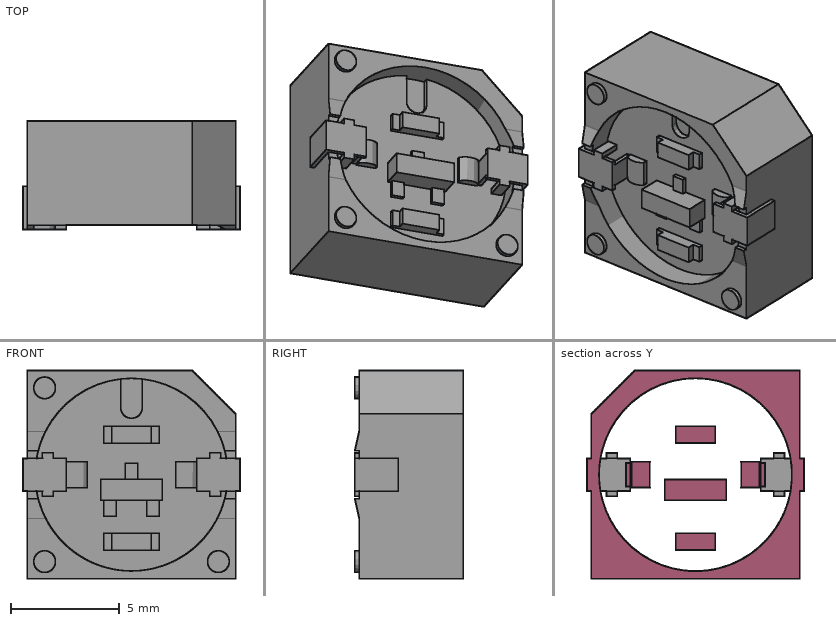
import cadquery as cq
import math


housing_side = 9.6
housing_depth = 4.8
corner_cut = 2.0
standoff = 0.2
housing_face_y = standoff

recess_diameter = 8.87
recess_depth = 1.1
floor_y = housing_face_y + recess_depth
slot_width = 1.0
slot_end_z = 2.6
slot_depth = 0.3

peg_diameter = 1.0
peg_offset = 4.0

ramp_high_z = 1.1
ramp_low_z = 2.0

terminal_outer_x = 5.0
terminal_inner_x = 3.0
terminal_width = 1.5
terminal_thickness = 0.2
side_plate_length = 2.0
arm_inner_x = 3.6
arm_outer_x = 4.1
arm_reach_z = 1.0
arm_depth = 1.05
leg_width = 1.1
foot_inner_x = 2.03
foot_width = 1.2
foot_edge_height = 0.2
foot_radius = 0.7

chip_length = 2.54
chip_body_length = 1.82
chip_width = 0.78
chip_cap_height = 0.2
chip_body_height = 0.55
chip_centres_z = (1.85, -3.08)

transistor_length = 2.84
transistor_top_z = -0.21
transistor_bottom_z = -1.18
transistor_height = 1.1
lead_width = 0.58
lead_height = 0.2
lead_length = 0.74
lead_pair_x = 0.99


def box_between(x_range, y_range, z_range):
    """Axis-aligned box spanning the three given ranges."""
    size = [high - low for low, high in (x_range, y_range, z_range)]
    corner = (x_range[0], y_range[0], z_range[0])
    return cq.Workplane("XY").box(*size, centered=False).translate(corner)


def floor_block(x_centre, length, z_range, height):
    """Box standing on the recess floor, rising toward the mounting plane."""
    x_range = (x_centre - length / 2, x_centre + length / 2)
    return box_between(x_range, (floor_y - height, floor_y), z_range)


def plane_at(y):
    """XZ sketch plane at the given y; extruding goes toward -Y."""
    return cq.Workplane("XZ", origin=(0, y, 0))


def mirrored_pair(shape):
    """The shape together with its mirror image across x = 0."""
    return shape.union(shape.mirror("YZ"))


def make_housing():
    half = housing_side / 2
    outline = [
        (-half, -half),
        (half, -half),
        (half, half - corner_cut),
        (half - corner_cut, half),
        (-half, half),
    ]
    return plane_at(housing_face_y).polyline(outline).close().extrude(-housing_depth)


def make_ramps():
    """Four ramps rising from the housing face to the mounting plane."""
    half = housing_side / 2
    profile = [
        (housing_face_y, ramp_low_z),
        (0, ramp_high_z),
        (housing_face_y, ramp_high_z),
    ]
    upper = cq.Workplane("YZ", origin=(-half, 0, 0)).polyline(profile).close().extrude(housing_side)
    return upper.union(upper.mirror("XY"))


def make_recess():
    return plane_at(0).circle(recess_diameter / 2).extrude(-floor_y)


def make_slot():
    """Round-ended slot in the recess floor, running out to the recess wall."""
    radius = slot_width / 2
    arc_centre_z = slot_end_z + radius
    slot = (
        plane_at(floor_y)
        .moveTo(-radius, recess_diameter / 2)
        .lineTo(-radius, arc_centre_z)
        .threePointArc((0, slot_end_z), (radius, arc_centre_z))
        .lineTo(radius, recess_diameter / 2)
        .close()
        .extrude(-slot_depth)
    )
    recess_column = plane_at(floor_y).circle(recess_diameter / 2).extrude(-slot_depth)
    return slot.intersect(recess_column)


def make_pegs():
    """Three pegs, leaving out the corner that is cut off."""
    corners = [
        (-peg_offset, peg_offset),
        (-peg_offset, -peg_offset),
        (peg_offset, -peg_offset),
    ]
    return plane_at(housing_face_y).pushPoints(corners).circle(peg_diameter / 2).extrude(standoff)


def make_foot():
    """Foot of a terminal leg, with a cylindrically crowned top."""
    half_length = (terminal_inner_x - foot_inner_x) / 2
    middle_x = foot_inner_x + half_length
    crown = foot_radius - math.sqrt(foot_radius**2 - half_length**2)
    edge_y = floor_y - foot_edge_height
    return (
        cq.Workplane("XY", origin=(0, 0, -foot_width / 2))
        .moveTo(foot_inner_x, floor_y)
        .lineTo(foot_inner_x, edge_y)
        .threePointArc((middle_x, edge_y - crown), (terminal_inner_x, edge_y))
        .lineTo(terminal_inner_x, floor_y)
        .close()
        .extrude(foot_width)
    )


def make_terminal():
    half_width = terminal_width / 2
    half_leg = leg_width / 2
    width_range = (-half_width, half_width)
    leg_outer_x = terminal_inner_x + terminal_thickness
    side_inner_x = terminal_outer_x - terminal_thickness
    pad = box_between((terminal_inner_x, terminal_outer_x), (0, terminal_thickness), width_range)
    side_plate = box_between((side_inner_x, terminal_outer_x), (0, side_plate_length), width_range)
    leg = box_between((terminal_inner_x, leg_outer_x), (0, floor_y), (-half_leg, half_leg))
    upper_arm = box_between((arm_inner_x, arm_outer_x), (0, arm_depth), (half_width, arm_reach_z))
    lower_arm = upper_arm.mirror("XY")
    return pad.union(side_plate).union(leg).union(upper_arm).union(lower_arm).union(make_foot())


def make_chip(centre_z):
    z_range = (centre_z - chip_width / 2, centre_z + chip_width / 2)
    caps = floor_block(0, chip_length, z_range, chip_cap_height)
    body = floor_block(0, chip_body_length, z_range, chip_body_height)
    return caps.union(body)


def make_transistor():
    body_range = (transistor_bottom_z, transistor_top_z)
    upper_range = (transistor_top_z, transistor_top_z + lead_length)
    lower_range = (transistor_bottom_z - lead_length, transistor_bottom_z)
    body = floor_block(0, transistor_length, body_range, transistor_height)
    body = body.union(floor_block(0, lead_width, upper_range, lead_height))
    for lead_x in (-lead_pair_x, lead_pair_x):
        body = body.union(floor_block(lead_x, lead_width, lower_range, lead_height))
    return body


result = make_housing().union(make_ramps()).cut(make_recess()).cut(make_slot())
result = result.union(make_pegs()).union(mirrored_pair(make_terminal()))
for chip_centre_z in chip_centres_z:
    result = result.union(make_chip(chip_centre_z))
result = result.union(make_transistor())